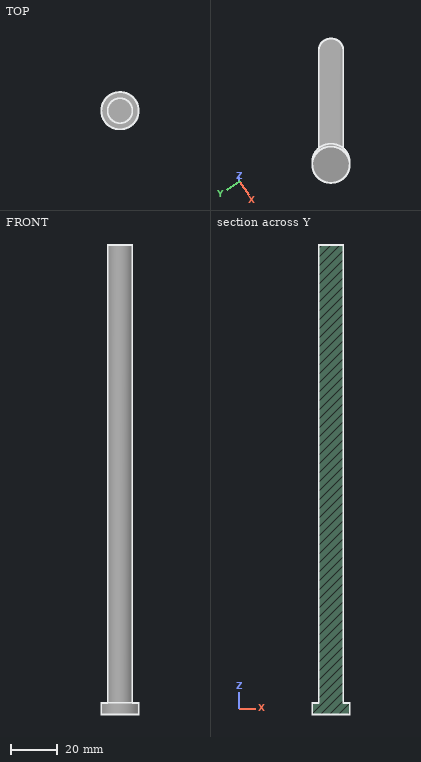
import cadquery as cq

total_length = 200.0
head_diameter = 16.0
head_thickness = 5.0
shank_diameter = 10.5

head = cq.Workplane("XY").circle(head_diameter / 2).extrude(head_thickness)
shank = cq.Workplane("XY").circle(shank_diameter / 2).extrude(total_length)

result = head.union(shank)